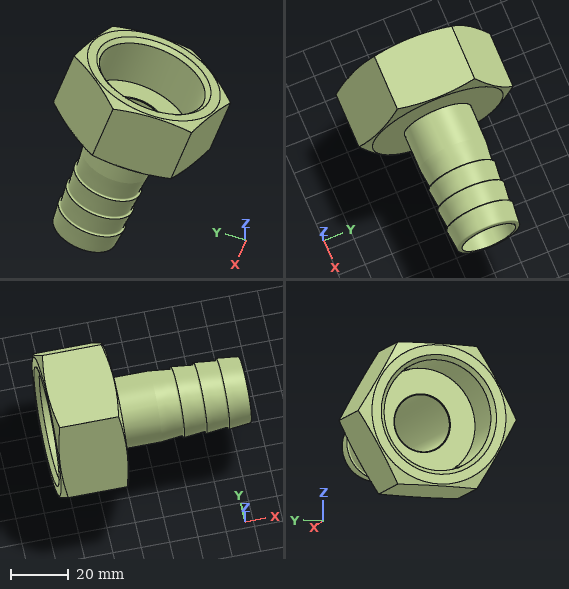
import cadquery as cq
import math

total_length = 70.0

across_corners = 57.75
nut_length = 24.0
face_circle_radius = 24.4
corner_chamfer_angle = 20.0
thread_bore_radius = 19.45
mouth_radius = 21.0
mouth_chamfer = 1.55
nut_web = 4.0

tail_radius = 12.5
bore_radius = 10.0
bore_chamfer = 0.3
flange_radius = 19.25
flange_thickness = 2.0
barb_count = 4
barb_pitch = 8.0
barb_valley_radius = 11.7
barb_fillet = 0.5

corner_radius = across_corners / 2
flange_back = nut_length - nut_web
flange_front = flange_back - flange_thickness
barbs_start = total_length - barb_count * barb_pitch


def revolve_about_x(profile):
    """Revolve a closed profile, drawn with X along the axis and Y as radius."""
    return profile.close().revolve(360, (0, 0, 0), (1, 0, 0))


def make_nut():
    hexagon = cq.Workplane("YZ").polygon(6, across_corners).extrude(nut_length)

    corner_depth = (corner_radius - face_circle_radius) * math.tan(math.radians(corner_chamfer_angle))
    envelope = revolve_about_x(
        cq.Workplane("XY")
        .moveTo(0, 0)
        .lineTo(0, face_circle_radius)
        .lineTo(corner_depth, corner_radius)
        .lineTo(nut_length - corner_depth, corner_radius)
        .lineTo(nut_length, face_circle_radius)
        .lineTo(nut_length, 0)
    )

    cavity = revolve_about_x(
        cq.Workplane("XY")
        .moveTo(0, 0)
        .lineTo(0, mouth_radius)
        .lineTo(mouth_chamfer, thread_bore_radius)
        .lineTo(flange_back, thread_bore_radius)
        .lineTo(flange_back, tail_radius)
        .lineTo(nut_length, tail_radius)
        .lineTo(nut_length, 0)
    )
    return hexagon.intersect(envelope).cut(cavity)


def make_tail():
    profile = (
        cq.Workplane("XY")
        .moveTo(flange_front, 0)
        .lineTo(flange_front, flange_radius)
        .lineTo(flange_back, flange_radius)
        .lineTo(flange_back, tail_radius)
        .lineTo(barbs_start, tail_radius)
    )

    for barb in range(barb_count):
        barb_end = barbs_start + (barb + 1) * barb_pitch
        profile = profile.lineTo(barb_end, barb_valley_radius)
        if barb < barb_count - 1:
            profile = profile.lineTo(barb_end, tail_radius)
    tail = revolve_about_x(profile.lineTo(total_length, 0))

    tail = tail.edges(cq.selectors.RadiusNthSelector(0)).fillet(barb_fillet)

    bore = revolve_about_x(
        cq.Workplane("XY")
        .moveTo(flange_front, 0)
        .lineTo(flange_front, bore_radius + bore_chamfer)
        .lineTo(flange_front + bore_chamfer, bore_radius)
        .lineTo(total_length, bore_radius)
        .lineTo(total_length, 0)
    )
    return tail.cut(bore)


nut = make_nut()
tail = make_tail()
result = cq.Compound.makeCompound([nut.val(), tail.val()])